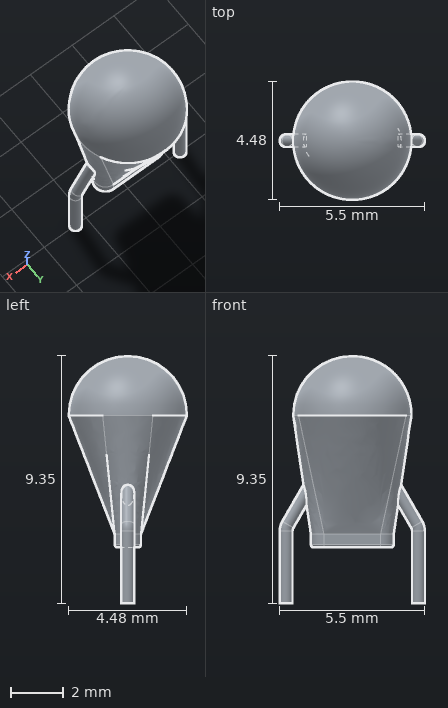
import cadquery as cq
import math

head_radius = 2.24
head_center_z = 7.11
foot_length = 3.14
foot_width = 1.0
foot_bottom_z = 2.11
foot_top_z = 2.62
foot_edge_fillet = 0.11

leg_diameter = 0.5
leg_span = 5.5
leg_straight_height = 2.73
leg_bend_radius = 0.5
leg_bend_angle = math.radians(30)
leg_slant_length = 2.62

foot_end_radius = foot_width / 2
foot_half_straight = foot_length / 2 - foot_end_radius
leg_x = (leg_span - leg_diameter) / 2


def slot_outline(z):
    """Slot with full-round ends, long along X."""
    return (
        cq.Workplane("XY", origin=(0, 0, z))
        .moveTo(-foot_half_straight, -foot_end_radius)
        .lineTo(foot_half_straight, -foot_end_radius)
        .threePointArc((foot_length / 2, 0), (foot_half_straight, foot_end_radius))
        .lineTo(-foot_half_straight, foot_end_radius)
        .threePointArc((-foot_length / 2, 0), (-foot_half_straight, -foot_end_radius))
        .close()
    )


def head_outline(z):
    """Circle split into four arcs, in the same directions as the slot corners."""
    corner_angle = math.atan2(foot_end_radius, foot_half_straight)
    x = head_radius * math.cos(corner_angle)
    y = head_radius * math.sin(corner_angle)
    return (
        cq.Workplane("XY", origin=(0, 0, z))
        .moveTo(-x, -y)
        .threePointArc((0, -head_radius), (x, -y))
        .threePointArc((head_radius, 0), (x, y))
        .threePointArc((0, head_radius), (-x, y))
        .threePointArc((-head_radius, 0), (-x, -y))
        .close()
    )


def make_foot():
    foot = slot_outline(foot_bottom_z).extrude(foot_top_z - foot_bottom_z)
    return foot.faces("<Z").edges().fillet(foot_edge_fillet)


def make_neck():
    """Ruled blend from the foot slot to the head circle."""
    lower = slot_outline(foot_top_z).wire().val()
    upper = head_outline(head_center_z).wire().val()
    return cq.Workplane(cq.Solid.makeLoft([lower, upper], True))


def make_dome():
    return (
        cq.Workplane("XZ")
        .moveTo(0, head_center_z)
        .lineTo(head_radius, head_center_z)
        .radiusArc((0, head_center_z + head_radius), -head_radius)
        .close()
        .revolve(360, (0, 0, 0), (0, 1, 0))
    )


def make_leg():
    """Leg on the +X side: upright wire, bent inward and ending inside the neck."""
    bend_center_x = leg_x - leg_bend_radius

    def bend_point(angle):
        return (
            bend_center_x + leg_bend_radius * math.cos(angle),
            leg_straight_height + leg_bend_radius * math.sin(angle),
        )

    bend_end = bend_point(leg_bend_angle)
    inner_end = (
        bend_end[0] - leg_slant_length * math.sin(leg_bend_angle),
        bend_end[1] + leg_slant_length * math.cos(leg_bend_angle),
    )
    path = (
        cq.Workplane("XZ")
        .moveTo(leg_x, 0)
        .lineTo(leg_x, leg_straight_height)
        .threePointArc(bend_point(leg_bend_angle / 2), bend_end)
        .lineTo(*inner_end)
    )
    return cq.Workplane("XY").center(leg_x, 0).circle(leg_diameter / 2).sweep(path)


right_leg = make_leg()
left_leg = right_leg.mirror("YZ")

result = make_foot().union(make_neck()).union(make_dome()).union(right_leg).union(left_leg)